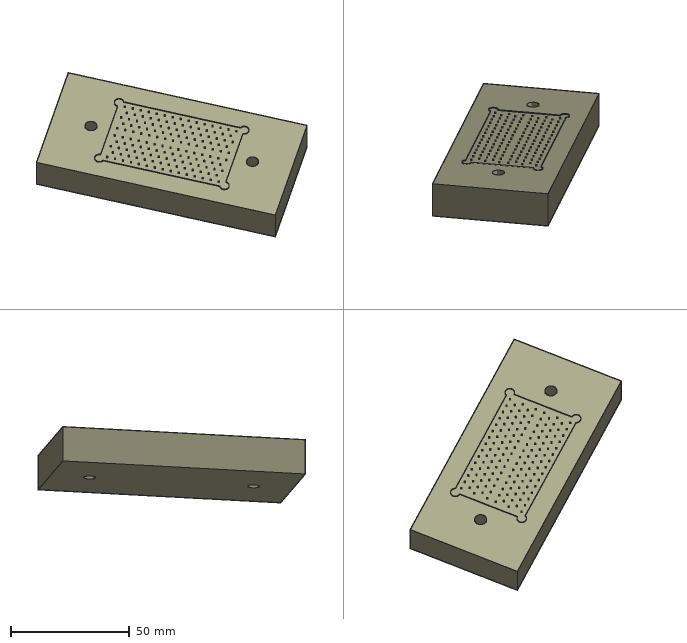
import cadquery as cq

BLOCK_LENGTH = 105.0
BLOCK_WIDTH = 50.0
BLOCK_HEIGHT = 15.0

POCKET_LENGTH = 55.0
POCKET_WIDTH = 32.5
POCKET_DEPTH = 0.4
RELIEF_DIAMETER = 4.0
RELIEF_SPACING_X = POCKET_LENGTH
RELIEF_SPACING_Y = 31.0

MOUNT_HOLE_DIAMETER = 5.0
MOUNT_HOLE_SPACING = 71.0

PIN_DIAMETER = 0.6
PIN_HEIGHT = POCKET_DEPTH
COLUMN_COUNT = 15
COLUMN_SPAN = 49.0
COLUMN_PITCH = COLUMN_SPAN / (COLUMN_COUNT - 1)
ROWS_PER_GROUP = 5
GROUP_GAP = 4.0
OUTER_ROW_SPACING = 28.0
ROW_PITCH = (OUTER_ROW_SPACING - GROUP_GAP) / (2 * (ROWS_PER_GROUP - 1))

POCKET_FLOOR_Z = BLOCK_HEIGHT - POCKET_DEPTH


def make_block():
    return cq.Workplane("XY").box(BLOCK_LENGTH, BLOCK_WIDTH, BLOCK_HEIGHT, centered=(True, True, False))


def make_pocket():
    floor = cq.Workplane("XY").workplane(offset=POCKET_FLOOR_Z)
    recess = floor.rect(POCKET_LENGTH, POCKET_WIDTH).extrude(POCKET_DEPTH)
    reliefs = (
        floor.rect(RELIEF_SPACING_X, RELIEF_SPACING_Y, forConstruction=True)
        .vertices()
        .circle(RELIEF_DIAMETER / 2)
        .extrude(POCKET_DEPTH)
    )
    return recess.union(reliefs)


def make_mount_holes():
    return (
        cq.Workplane("XY")
        .rarray(MOUNT_HOLE_SPACING, 1, 2, 1)
        .circle(MOUNT_HOLE_DIAMETER / 2)
        .extrude(BLOCK_HEIGHT)
    )


def pin_centers():
    centers = []
    for row in range(ROWS_PER_GROUP):
        row_y = GROUP_GAP / 2 + row * ROW_PITCH
        pin_count = COLUMN_COUNT - row % 2
        first_x = -(pin_count - 1) * COLUMN_PITCH / 2
        for column in range(pin_count):
            pin_x = first_x + column * COLUMN_PITCH
            centers += [(pin_x, row_y), (pin_x, -row_y)]
    return centers


def make_pins():
    return (
        cq.Workplane("XY")
        .workplane(offset=POCKET_FLOOR_Z)
        .pushPoints(pin_centers())
        .circle(PIN_DIAMETER / 2)
        .extrude(PIN_HEIGHT)
    )


result = make_block().cut(make_pocket()).cut(make_mount_holes()).union(make_pins())